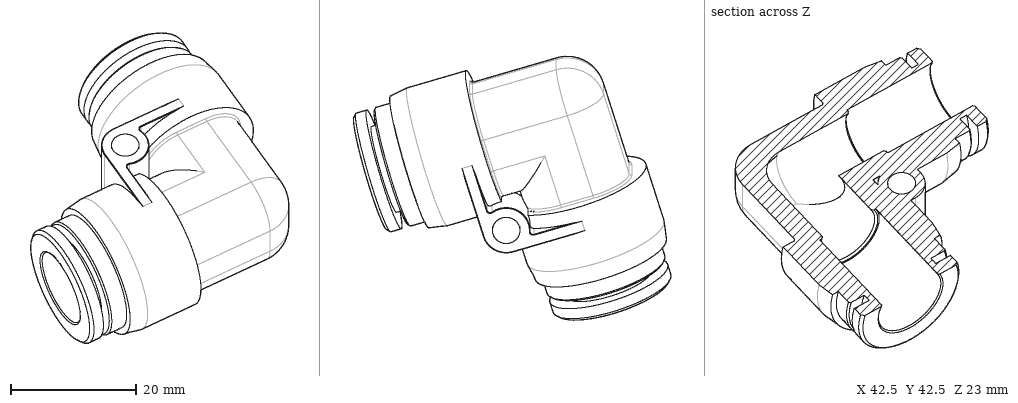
import cadquery as cq


leg_length = 31.0
barrel_radius = 11.5
barrel_start = 11.65
taper_start = 21.5
taper_end = 24.45
taper_end_radius = 11.0
lip_radius = 9.9
lip_end = 27.5
lip_chamfer = 0.3
neck_radius = 7.15
flange_thickness = 2.25
flange_start = leg_length - flange_thickness
flange_chamfer = 0.5

flow_radius = 5.5
flow_chamfer = 0.35
tube_radius = 6.15
tube_mouth_chamfer = 0.25
tube_depth = 17.0

elbow_half_width = 8.75
elbow_round = 6.05
elbow_root_fillet = 0.35
arm_overlap = 1.0

hole_radius = 2.2
bracket_center = -12.0
bracket_boss_radius = 3.8
bracket_wall = 1.85
bracket_outer = bracket_center - bracket_boss_radius
bracket_inner = bracket_outer + bracket_wall
bracket_edge_chamfer = 0.1
bracket_tip = bracket_edge_chamfer
bracket_corner_fillet = 0.5
bracket_height = 2 * barrel_radius

selection_margin = 0.1


def mirrored_leg(leg):
    """Swap X and Y: turns the -X leg into the -Y leg."""
    return leg.rotate((0, 0, 0), (1, 1, 0), 180)


def revolve_about_leg(profile):
    """Revolve (distance along the leg, radius) points about the -X leg axis."""
    points = [(-distance, radius) for distance, radius in profile]
    return cq.Workplane("XY").polyline(points).close().revolve(360, (0, 0, 0), (1, 0, 0))


def leg_outside():
    return revolve_about_leg([
        (barrel_start, 0),
        (barrel_start, barrel_radius),
        (taper_start, barrel_radius),
        (taper_end, taper_end_radius),
        (taper_end, lip_radius),
        (lip_end - lip_chamfer, lip_radius),
        (lip_end, lip_radius - lip_chamfer),
        (lip_end, neck_radius),
        (flange_start, neck_radius),
        (flange_start, lip_radius),
        (leg_length - flange_chamfer, lip_radius),
        (leg_length, lip_radius - flange_chamfer),
        (leg_length, 0),
    ])


def leg_bore():
    tube_stop = leg_length - tube_depth
    return revolve_about_leg([
        (0, 0),
        (0, flow_radius),
        (tube_stop - flow_chamfer, flow_radius),
        (tube_stop, flow_radius + flow_chamfer),
        (tube_stop, tube_radius),
        (leg_length - tube_mouth_chamfer, tube_radius),
        (leg_length, tube_radius + tube_mouth_chamfer),
        (leg_length, 0),
    ])


def elbow_arm():
    """Square arm along -X, rounded on every edge except where it enters the barrel."""
    arm_length = elbow_half_width + barrel_start + arm_overlap
    width = 2 * elbow_half_width
    arm = cq.Workplane("XY").box(arm_length, width, width)
    arm = arm.edges("not <X").fillet(elbow_round)
    return arm.translate((elbow_half_width - arm_length / 2, 0, 0))


def bracket():
    wall = (
        cq.Workplane("XY")
        .moveTo(bracket_outer, bracket_tip)
        .lineTo(bracket_outer, bracket_center)
        .radiusArc((bracket_center, bracket_outer), -bracket_boss_radius)
        .lineTo(bracket_tip, bracket_outer)
        .lineTo(bracket_tip, bracket_inner)
        .lineTo(bracket_inner, bracket_inner)
        .lineTo(bracket_inner, bracket_tip)
        .close()
        .extrude(bracket_height / 2, both=True)
    )
    boss = (
        cq.Workplane("XY")
        .center(bracket_center, bracket_center)
        .circle(bracket_boss_radius)
        .extrude(bracket_height / 2, both=True)
    )
    plate = wall.union(boss)
    zone_start = bracket_inner - selection_margin
    zone_end = bracket_center + bracket_boss_radius - selection_margin
    wall_to_boss = cq.selectors.BoxSelector(
        (zone_start, zone_start, -bracket_height),
        (zone_end, zone_end, bracket_height),
    )
    plate = plate.edges("|Z").edges(wall_to_boss).fillet(bracket_corner_fillet)
    return plate.faces("|Z").edges().chamfer(bracket_edge_chamfer)


def inner_corner_web():
    """Web closing the gap between the bracket boss and the inner corner of the elbow."""
    web_side = -bracket_center - elbow_half_width
    web_height = 2 * (elbow_half_width - elbow_round)
    web_middle = (bracket_center - elbow_half_width) / 2
    return (
        cq.Workplane("XY")
        .box(web_side, web_side, web_height)
        .translate((web_middle, web_middle, 0))
    )


def mounting_hole():
    return (
        cq.Workplane("XY")
        .center(bracket_center, bracket_center)
        .circle(hole_radius)
        .extrude(bracket_height, both=True)
    )


def leg_solid():
    """Arm and barrel with a small fillet where the arm enters the barrel face."""
    leg = elbow_arm().union(leg_outside())
    reach = elbow_half_width + selection_margin
    root = cq.selectors.BoxSelector(
        (-barrel_start - selection_margin, -reach, -reach),
        (-barrel_start + selection_margin, reach, reach),
        boundingbox=True,
    )
    return leg.edges(root).fillet(elbow_root_fillet)


leg = leg_solid()
bore = leg_bore()
flow_corner = cq.Workplane("XY").sphere(flow_radius)
body = leg.union(mirrored_leg(leg)).union(inner_corner_web()).union(bracket())
body = body.cut(bore).cut(mirrored_leg(bore)).cut(flow_corner)
result = body.cut(mounting_hole())